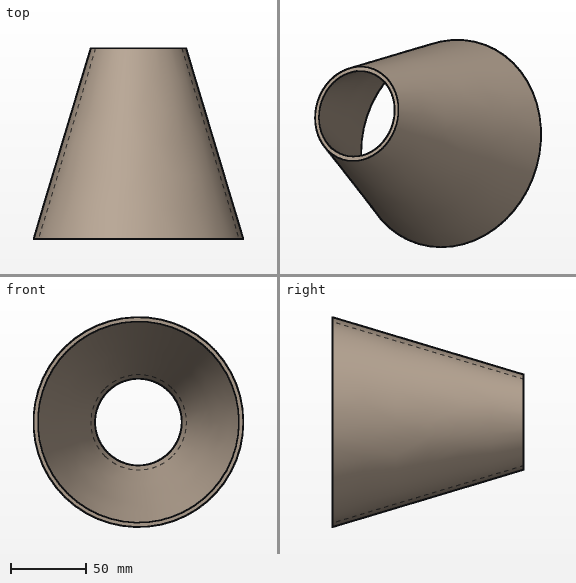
import cadquery as cq

large_diameter = 139.7
small_diameter = 63.5
wall = 3.0
length = 127.0

large_radius = large_diameter / 2
small_radius = small_diameter / 2


def reducer_shell():
    """Revolve the slanted wall section about the Y axis."""
    wall_section = [
        (large_radius - wall, 0),
        (large_radius, 0),
        (small_radius, length),
        (small_radius - wall, length),
    ]
    return (
        cq.Workplane("XY")
        .polyline(wall_section)
        .close()
        .revolve(360, (0, 0), (0, 1))
    )


result = reducer_shell()